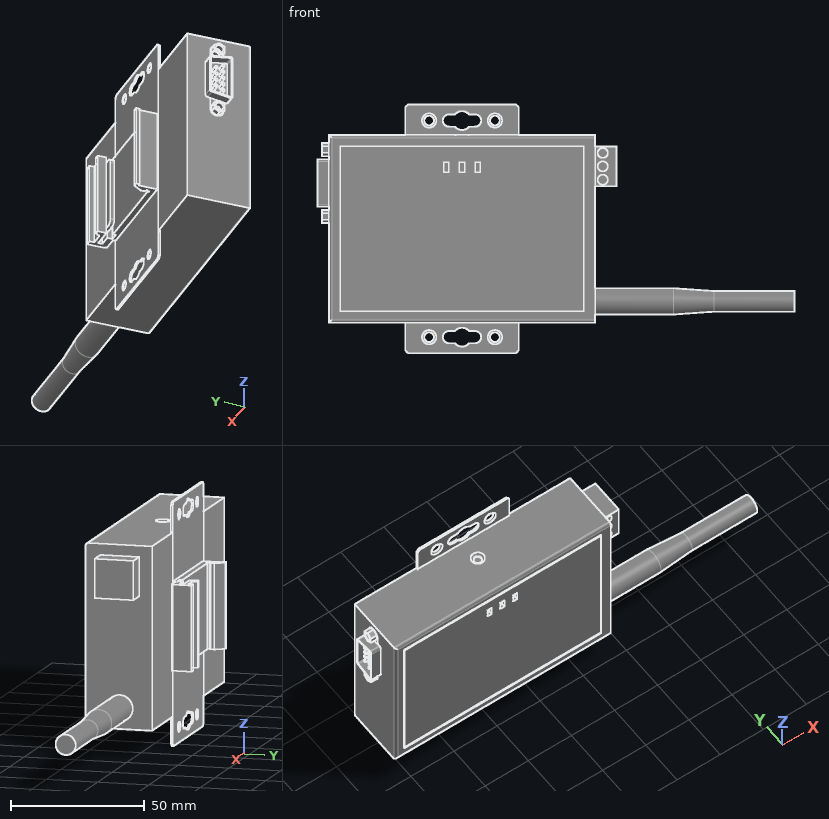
import cadquery as cq


overall_length = 179.2
overall_height = 93.5

housing_length = 100.0
housing_depth = 26.0
housing_height = 70.6
front_edge_radius = 1.0
housing_mid_x = housing_length / 2
housing_front_y = -housing_depth
housing_top_z = housing_height / 2

label_margin = 4.3
label_depth = 0.4
window_width = 2.0
window_height = 3.8
window_pitch = 6.0
window_count = 3
window_depth = 1.5
window_z = 23.1

screw_head_diameter = 5.4
screw_hole_diameter = 3.2
screw_sink_depth = 0.9
screw_hole_depth = 1.5
screw_y = -9.9

plate_width = 42.6
plate_thickness = 0.7
plate_corner = 1.0
plate_hole_front_diameter = 5.4
plate_hole_back_diameter = 3.5
plate_hole_x = 12.4
plate_opening_z = 40.7
keyhole_length = 14.3
keyhole_height = 4.5
keyhole_circle_diameter = 7.0

connector_y = -12.0
connector_z = 17.2
shell_projection = 4.3
shell_depth_y = 9.3
shell_long_side = 18.3
shell_short_side = 15.5
shell_wall = 0.5
shell_radius = 0.9
flange_width = 5.4
flange_thickness = 0.9
jack_half_spacing = 12.5
jack_length = 2.7
jack_across_corners = 5.0
jack_hole_diameter = 3.0
pin_diameter = 1.0
pin_length = 3.0
pin_pitch = 2.7
pin_row_offset = 1.5
pins_in_front_row = 5
pins_in_back_row = 4

terminal_length = 8.0
terminal_depth = 15.0
terminal_height = 15.0
terminal_back_y = -5.0
terminal_top_z = housing_top_z - label_margin
terminal_ways = 3
terminal_hole_diameter = 3.8
terminal_hole_x = 2.9
terminal_hole_depth = 1.8

antenna_y = -12.5
antenna_z = -27.2
antenna_base_diameter = 10.0
antenna_tip_diameter = 7.9
antenna_base_length = 29.4
antenna_taper_length = 15.2
antenna_length = overall_length - shell_projection - housing_length

clip_height = 33.0
clip_depth = 9.0
clip_start_x = 29.7
clip_end_x = 77.2
clip_floor = 2.7
hook_lip = 0.9
hook_tip_width = 1.6
hook_tip_level = 7.5
hook_nose_x = 33.0
hook_nose_top = 5.4
hook_nose_bottom = 4.0
undercut_x = 32.0
undercut_level = 3.2
undercut_bottom = 2.2
neck_start_x = 67.0
neck_end_x = 70.0
neck_level = 1.6
slot_bottom = 3.8
slot_top = 5.4
slot_end_x = 74.9
holder_start_x = 66.8
holder_tooth_top = 1.8
holder_tooth_base = 3.0
holder_arm_level = 7.0
holder_underside = 1.0
holder_corner = 0.5
foot_end_x = 70.2

latch_start_x = 62.9
latch_slope_x = 69.0
latch_end_x = 73.1
latch_height = 28.7
latch_slope_drop = 1.5
latch_corner_radius = 2.2


def box(x0, x1, y0, y1, z0, z1):
    """Box between two opposite corners."""
    return cq.Workplane("XY").box(x1 - x0, y1 - y0, z1 - z0, centered=False).translate((x0, y0, z0))


def facing_front(x, y, z):
    """Workplane at a point, drawn in X and Z; negative lengths go toward +Y."""
    return cq.Workplane(cq.Plane(origin=(x, y, z), xDir=(1, 0, 0), normal=(0, -1, 0)))


def facing_left(x):
    """Workplane on the connector axis, drawn in Y and Z; positive lengths go toward +X."""
    return cq.Workplane(cq.Plane(origin=(x, connector_y, connector_z), xDir=(0, 1, 0), normal=(1, 0, 0)))


def plate_blank():
    half_height = overall_height / 2
    blank = box(-plate_width / 2, plate_width / 2, -plate_thickness, 0, -half_height, half_height)
    return blank.edges("|Y").chamfer(plate_corner).translate((housing_mid_x, 0, 0))


def shell_prism(x0, x1, inset=0.0):
    """D shape of the connector from x0 to x1, with its outline moved inward by the inset."""
    half_depth = shell_depth_y / 2
    outline = [
        (-half_depth, -shell_long_side / 2),
        (half_depth, -shell_short_side / 2),
        (half_depth, shell_short_side / 2),
        (-half_depth, shell_long_side / 2),
    ]
    start = facing_left(x0).polyline(outline).close()
    if inset > 0:
        start = start.offset2D(-inset)
    return start.extrude(x1 - x0).edges("|X").fillet(shell_radius - inset)


def connector_base():
    """Part of the connector let into the housing: the flange and the foot of the shell."""
    slot_length = 2 * jack_half_spacing + flange_width
    flange = facing_left(0).slot2D(slot_length, flange_width, 90).extrude(flange_thickness)
    return flange.union(shell_prism(0, flange_thickness))


def make_housing():
    body = box(0, housing_length, housing_front_y, 0, -housing_top_z, housing_top_z)
    body = body.edges("(<Y and |X) or (<Y and <X)").fillet(front_edge_radius)

    label = box(label_margin, housing_length - label_margin, housing_front_y, housing_front_y + label_depth,
                label_margin - housing_top_z, housing_top_z - label_margin)
    windows = (
        facing_front(housing_mid_x, housing_front_y, window_z)
        .rarray(window_pitch, 1.8, window_count, 1)
        .rect(window_width, window_height)
        .extrude(-window_depth - label_depth)
    )
    screw_hole = (
        cq.Workplane("XY", origin=(housing_mid_x, screw_y, housing_top_z))
        .circle(screw_head_diameter / 2)
        .workplane(offset=-screw_sink_depth)
        .circle(screw_hole_diameter / 2)
        .loft()
        .faces("<Z").workplane()
        .circle(screw_hole_diameter / 2)
        .extrude(screw_hole_depth - screw_sink_depth)
    )
    return body.cut(label).cut(windows).cut(screw_hole).cut(plate_blank()).cut(connector_base())


def make_mounting_plate():
    plate = plate_blank()
    for side in (-1, 1):
        opening_z = side * plate_opening_z
        front = facing_front(housing_mid_x, -plate_thickness, opening_z)
        keyhole_slot = front.slot2D(keyhole_length, keyhole_height).extrude(-plate_thickness)
        keyhole_circle = front.circle(keyhole_circle_diameter / 2).extrude(-plate_thickness)
        plate = plate.cut(keyhole_slot).cut(keyhole_circle)
        for hole_x in (housing_mid_x - plate_hole_x, housing_mid_x + plate_hole_x):
            sink = (
                facing_front(hole_x, -plate_thickness, opening_z)
                .circle(plate_hole_front_diameter / 2)
                .workplane(offset=-plate_thickness)
                .circle(plate_hole_back_diameter / 2)
                .loft()
            )
            plate = plate.cut(sink)
    return plate


def make_connector():
    shell = shell_prism(-shell_projection, 0).cut(shell_prism(-shell_projection, 0, shell_wall))
    connector = connector_base().union(shell)

    jacks = (
        facing_left(0)
        .transformed(rotate=(0, 0, 90))
        .rarray(2 * jack_half_spacing, 1.8, 2, 1)
        .polygon(6, jack_across_corners)
        .circle(jack_hole_diameter / 2)
        .extrude(-jack_length)
    )
    connector = connector.union(jacks)

    for pin_count, row_offset in ((pins_in_front_row, -pin_row_offset), (pins_in_back_row, pin_row_offset)):
        pins = (
            facing_left(0)
            .center(row_offset, 0)
            .rarray(1.8, pin_pitch, 1, pin_count)
            .circle(pin_diameter / 2)
            .extrude(-pin_length)
        )
        connector = connector.union(pins)
    return connector


def make_terminal_block():
    block = box(housing_length, housing_length + terminal_length,
                terminal_back_y - terminal_depth, terminal_back_y,
                terminal_top_z - terminal_height, terminal_top_z)
    wire_holes = (
        facing_front(housing_length + terminal_hole_x, terminal_back_y - terminal_depth,
                     terminal_top_z - terminal_height / 2)
        .rarray(1.8, terminal_height / terminal_ways, 1, terminal_ways)
        .circle(terminal_hole_diameter / 2)
        .extrude(-terminal_hole_depth)
    )
    return block.cut(wire_holes)


def make_antenna():
    """Round rod with a taper, revolved about its own axis."""
    base_radius = antenna_base_diameter / 2
    tip_radius = antenna_tip_diameter / 2
    taper_end = antenna_base_length + antenna_taper_length
    axis_plane = cq.Plane(origin=(housing_length, antenna_y, antenna_z), xDir=(1, 0, 0), normal=(0, 0, 1))
    return (
        cq.Workplane(axis_plane)
        .polyline([
            (0, 0),
            (0, -base_radius),
            (antenna_base_length, -base_radius),
            (taper_end, -tip_radius),
            (antenna_length, -tip_radius),
            (antenna_length, 0),
        ])
        .close()
        .revolve(360, (0, 0), (1, 0))
    )


def make_rail_clip():
    hook_tip_x = clip_start_x - hook_lip
    undercut_half_width = (undercut_level - undercut_bottom) / 2
    undercut_bottom_x = undercut_x + undercut_half_width
    hook = [
        (clip_start_x, 0),
        (clip_start_x, hook_tip_level),
        (hook_tip_x, hook_tip_level),
        (hook_tip_x, clip_depth),
        (hook_tip_x + hook_tip_width, clip_depth),
        (hook_nose_x, hook_nose_top),
        (hook_nose_x, hook_nose_bottom),
        (undercut_x, undercut_level),
        (undercut_bottom_x, undercut_bottom),
        (undercut_bottom_x + undercut_half_width, clip_floor),
    ]
    neck = [
        (neck_start_x, clip_floor),
        (neck_start_x, neck_level),
        (neck_end_x, neck_level),
        (neck_end_x, slot_bottom),
    ]
    latch_holder = [
        (slot_end_x, slot_bottom),
        (slot_end_x, slot_top),
        (holder_start_x, slot_top),
        (holder_start_x, clip_depth),
        (holder_start_x + holder_tooth_top, clip_depth),
        (holder_start_x + holder_tooth_base, holder_arm_level),
        (slot_end_x, holder_arm_level),
        (slot_end_x, clip_depth),
        (clip_end_x, clip_depth),
        (clip_end_x, holder_underside + holder_corner),
        (clip_end_x - holder_corner, holder_underside),
        (foot_end_x + holder_underside, holder_underside),
        (foot_end_x, 0),
    ]
    outline = hook + neck + latch_holder
    return cq.Workplane("XY").polyline(outline).close().extrude(clip_height / 2, both=True)


def make_latch():
    top = latch_height / 2
    outline = [
        (latch_start_x, -top),
        (latch_slope_x, -top),
        (latch_end_x, latch_slope_drop - top),
        (latch_end_x, top - latch_slope_drop),
        (latch_slope_x, top),
        (latch_start_x, top),
    ]
    latch = facing_front(0, slot_bottom, 0).polyline(outline).close().extrude(slot_bottom - slot_top)
    return latch.edges("<X and |Y").fillet(latch_corner_radius)


housing = make_housing()
mounting_plate = make_mounting_plate()
connector = make_connector()
terminal_block = make_terminal_block()
antenna = make_antenna()
rail_clip = make_rail_clip()
latch = make_latch()

result = cq.Compound.makeCompound([
    housing.val(),
    mounting_plate.val(),
    connector.val(),
    terminal_block.val(),
    antenna.val(),
    rail_clip.val(),
    latch.val(),
])